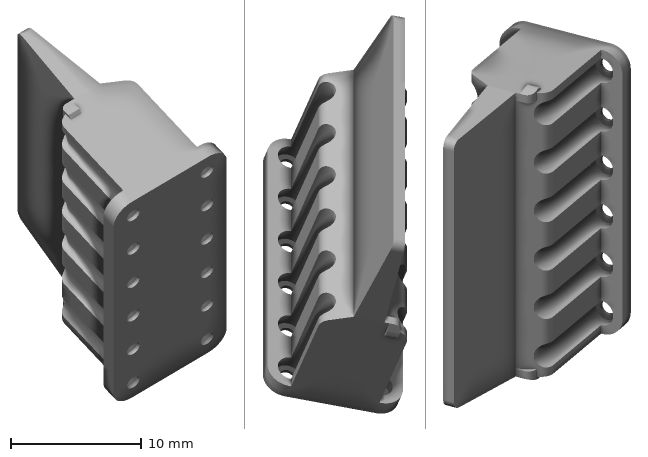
import cadquery as cq
import math

overall_length = 19.0
overall_height = 25.15
nub_rise = 0.28
body_height = overall_height - 2 * nub_rise
half_height = body_height / 2

flange_thickness = 1.28
flange_width = 10.81
flange_corner_radius = 1.75
flange_front = overall_length - flange_thickness

nose_x = 8.35
body_width = 7.05
nose_angle = 62.0
nose_radius = 1.0

blade_root_thickness = 2.46
blade_tip_thickness = 0.93
blade_edge_angle = 5.0
blade_corner_radius = 0.75
blade_tip_height = body_height - 2 * nose_x * math.tan(math.radians(blade_edge_angle))

hole_count = 6
hole_pitch = 4.2
hole_diameter = 1.2
groove_radius = 1.05
groove_recess = 0.98

pad_outer_y = -2.67
pad_height = 0.68
pad_length = 1.48
pad_corner_radius = 0.68
nub_inner_y = -1.63
nub_ramp_length = 0.73
nub_ramp_rise = 0.23
nub_crest_start = 1.0
nub_crest_end = 1.18


def make_flange():
    """Plate with rounded corners at the back of the part."""
    plate = cq.Workplane("XY").box(
        flange_thickness, flange_width, body_height, centered=(False, True, True)
    )
    return plate.edges("|X").fillet(flange_corner_radius).translate((flange_front, 0, 0))


def make_body():
    """Straight block whose two nose sides slope in to the blade root."""
    half_root = blade_root_thickness / 2
    half_width = body_width / 2
    shoulder_x = nose_x + (half_width - half_root) / math.tan(math.radians(nose_angle))
    outline = [
        (nose_x, -half_root),
        (shoulder_x, -half_width),
        (flange_front, -half_width),
        (flange_front, half_width),
        (shoulder_x, half_width),
        (nose_x, half_root),
    ]
    block = cq.Workplane("XY").polyline(outline).close().extrude(half_height, both=True)
    shoulders = cq.selectors.BoxSelector(
        (shoulder_x - nose_radius / 2, -body_width, -half_height),
        (shoulder_x + nose_radius / 2, body_width, half_height),
    )
    return block.edges("|Z").edges(shoulders).fillet(nose_radius)


def make_blade():
    """Blade that tapers in both directions towards a tip with rounded corners."""
    blade = (
        cq.Workplane("YZ")
        .rect(blade_tip_thickness, blade_tip_height)
        .workplane(offset=nose_x)
        .rect(blade_root_thickness, body_height)
        .loft(ruled=True)
    )
    return blade.edges("<X").edges("|Y").fillet(blade_corner_radius)


def make_top_pad():
    """Pad squaring off the nose at the top, with a ramped nub above it."""
    pad_width = -pad_outer_y
    pad = (
        cq.Workplane("XY")
        .box(pad_length, pad_width, pad_height, centered=False)
        .edges("|Z and <X and <Y")
        .fillet(pad_corner_radius)
        .translate((nose_x, pad_outer_y, half_height - pad_height))
    )
    nub = (
        cq.Workplane("XZ")
        .polyline([
            (0, 0),
            (nub_ramp_length, nub_ramp_rise),
            (nub_crest_start, nub_rise),
            (nub_crest_end, nub_rise),
            (pad_length, 0),
            (pad_length, -pad_height),
            (0, -pad_height),
        ])
        .close()
        .extrude(nub_inner_y - pad_outer_y)
        .edges("|Z and <X and <Y")
        .fillet(pad_corner_radius)
        .translate((nose_x, nub_inner_y, half_height))
    )
    return pad.union(nub)


def groove_row(start_x, radius, end_x):
    """Cylinders along X at every hole position on both sides of the body."""
    row_length = (hole_count - 1) * hole_pitch
    places = [
        (side * body_width / 2, index * hole_pitch - row_length / 2)
        for side in (-1, 1)
        for index in range(hole_count)
    ]
    return (
        cq.Workplane("YZ", origin=(start_x, 0, 0))
        .pushPoints(places)
        .circle(radius)
        .extrude(end_x - start_x)
    )


top_pad = make_top_pad()
result = (
    make_body()
    .union(make_flange())
    .union(make_blade())
    .cut(groove_row(nose_x, groove_radius, flange_front + groove_recess))
    .cut(groove_row(flange_front, hole_diameter / 2, overall_length))
    .union(top_pad)
    .union(top_pad.mirror("XY"))
)